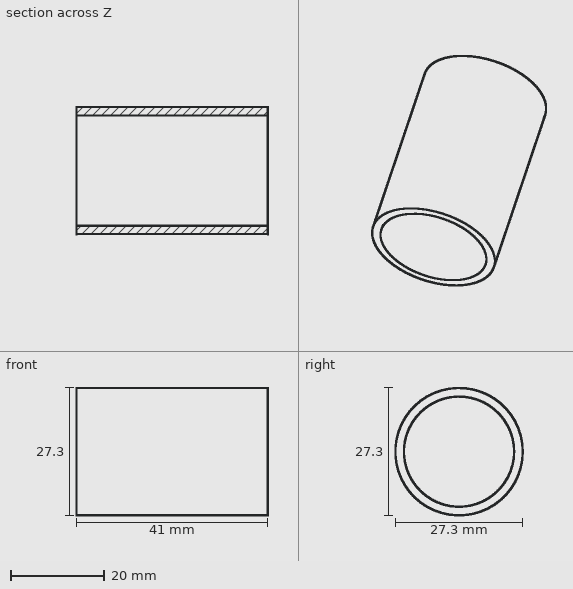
import cadquery as cq

length = 41.0
outer_diameter = 27.3
wall_thickness = 1.9
inner_diameter = outer_diameter - 2 * wall_thickness

result = (
    cq.Workplane("YZ", origin=(-length / 2, 0, 0))
    .circle(outer_diameter / 2)
    .circle(inner_diameter / 2)
    .extrude(length)
)